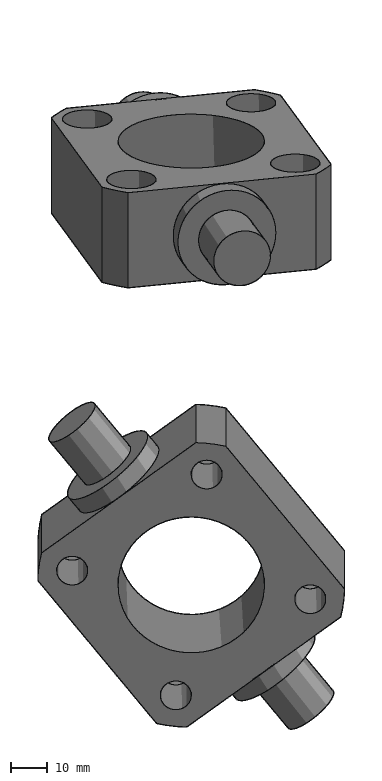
import cadquery as cq

block_side = 65.0
block_height = 28.0
corner_circle_diameter = 84.0
bore_diameter = 40.0

overall_length = 107.0
collar_span = 75.0
collar_diameter = 27.7
pin_diameter = 16.0

bolt_spacing = 46.4
bolt_diameter = 8.5
counterbore_diameter = 13.5
counterbore_depth = 10.0


def make_block():
    """Square block, centred on the origin, with its corners turned to a circle."""
    square = cq.Workplane("XY").box(block_side, block_side, block_height)
    blank = cq.Workplane("XY").circle(corner_circle_diameter / 2)
    turned = blank.extrude(block_height / 2, both=True)
    return square.intersect(turned)


def make_shaft(diameter, length):
    """Cylinder along X, centred on the origin."""
    return cq.Workplane("YZ").circle(diameter / 2).extrude(length / 2, both=True)


body = make_block()
body = body.union(make_shaft(collar_diameter, collar_span))
body = body.union(make_shaft(pin_diameter, overall_length))

top_face = cq.Workplane("XY", origin=(0, 0, block_height / 2))
bore = top_face.circle(bore_diameter / 2).extrude(-block_height)
bolt_pattern = top_face.rarray(bolt_spacing, bolt_spacing, 2, 2)
bolt_holes = bolt_pattern.circle(bolt_diameter / 2).extrude(-block_height)
counterbores = bolt_pattern.circle(counterbore_diameter / 2).extrude(-counterbore_depth)

result = body.cut(bore).cut(bolt_holes).cut(counterbores)